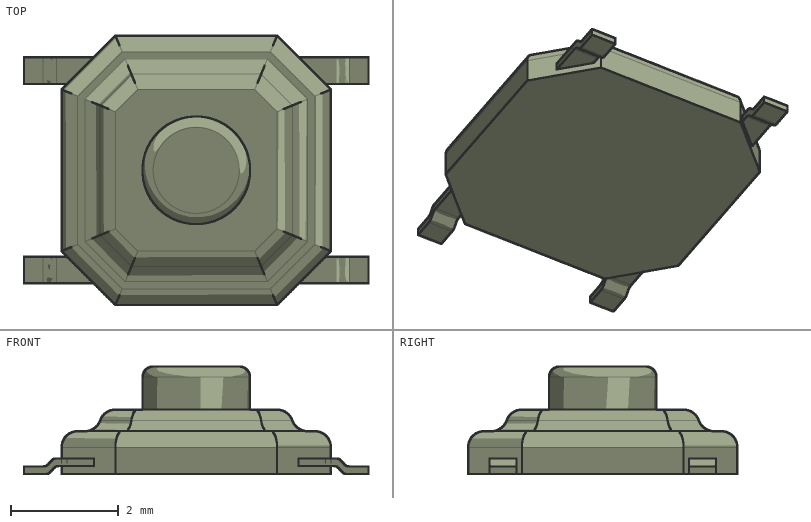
import cadquery as cq
import math


body_width = 5.0
corner_cut = 1.0
wall_height = 0.5
shoulder_radius = 0.3
shoulder_height = wall_height + shoulder_radius
deck_height = 1.2
deck_inset = 1.0
swage_radius = 0.3

button_radius = 1.0
button_top = 2.0
button_edge_radius = 0.2

lead_span = 6.4
lead_width = 0.5
lead_outer_y = 2.1
lead_thickness = 0.145
lead_lift = 0.15
lead_foot_length = 0.36
lead_bend_run = 0.25
lead_root_x = body_width / 2 - corner_cut


def housing_slab(half_width, turn):
    """Long bar with the housing's stepped cross-section, turned about Z."""
    half_rise = (deck_height - shoulder_height) / 2
    swage_angle = math.acos(1 - half_rise / swage_radius)
    swage_run = swage_radius * math.sin(swage_angle)
    mid_run = swage_radius * math.sin(swage_angle / 2)
    mid_drop = swage_radius * (1 - math.cos(swage_angle / 2))
    shoulder_sag = shoulder_radius * (1 - math.sqrt(0.5))

    deck_x = half_width - deck_inset
    swage_x = deck_x + swage_run
    foot_x = swage_x + swage_run
    half_section = (
        cq.Workplane("XZ")
        .lineTo(half_width, 0)
        .lineTo(half_width, wall_height)
        .threePointArc(
            (half_width - shoulder_sag, shoulder_height - shoulder_sag),
            (half_width - shoulder_radius, shoulder_height),
        )
        .lineTo(foot_x, shoulder_height)
        .threePointArc(
            (foot_x - mid_run, shoulder_height + mid_drop),
            (swage_x, shoulder_height + half_rise),
        )
        .threePointArc((deck_x + mid_run, deck_height - mid_drop), (deck_x, deck_height))
        .lineTo(0, deck_height)
        .close()
    )
    half_bar = half_section.extrude(body_width, both=True)
    bar = half_bar.union(half_bar.mirror("YZ"))
    return bar.rotate((0, 0, 0), (0, 0, 1), turn)


def make_housing():
    """Octagonal housing with mitred corners: the common volume of four bars."""
    side_distance = body_width / 2
    cut_distance = (body_width - corner_cut) / math.sqrt(2)
    housing = housing_slab(side_distance, 0)
    housing = housing.intersect(housing_slab(side_distance, 90))
    housing = housing.intersect(housing_slab(cut_distance, 45))
    return housing.intersect(housing_slab(cut_distance, 135))


def make_button():
    return (
        cq.Workplane("XY")
        .workplane(offset=deck_height)
        .circle(button_radius)
        .extrude(button_top - deck_height)
        .faces(">Z")
        .edges()
        .fillet(button_edge_radius)
    )


def make_lead():
    """Lead at the -X, +Y corner: solder foot, S-bend and upper flat."""
    tip_x = -lead_span / 2
    top_bend_start = (tip_x + lead_foot_length, lead_thickness)
    top_bend_end = (top_bend_start[0] + lead_bend_run, lead_thickness + lead_lift)

    bend_angle = math.atan2(lead_lift, lead_bend_run)
    bend_lag = lead_thickness * math.tan(bend_angle / 2)
    bottom_bend_start = (top_bend_start[0] + bend_lag, 0)
    bottom_bend_end = (top_bend_end[0] + bend_lag, lead_lift)

    forward = (1, 0)
    backward = (-1, 0)
    return (
        cq.Workplane("XZ", origin=(0, lead_outer_y, 0))
        .moveTo(tip_x, 0)
        .lineTo(tip_x, lead_thickness)
        .lineTo(*top_bend_start)
        .spline([top_bend_end], tangents=[forward, forward], includeCurrent=True)
        .lineTo(-lead_root_x, lead_lift + lead_thickness)
        .lineTo(-lead_root_x, lead_lift)
        .lineTo(*bottom_bend_end)
        .spline([bottom_bend_start], tangents=[backward, backward], includeCurrent=True)
        .close()
        .extrude(lead_width)
    )


left_lead = make_lead()
right_lead = left_lead.mirror("YZ")
result = make_housing().union(make_button())
for lead in (left_lead, right_lead):
    result = result.union(lead).union(lead.mirror("XZ"))